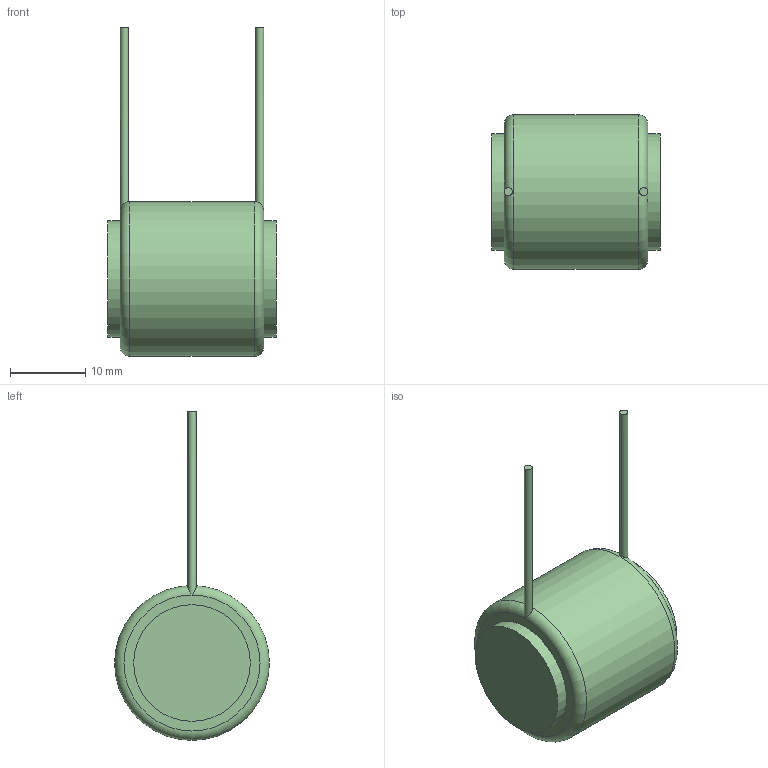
import cadquery as cq

body_diameter = 20.57
body_length = 19.05
rim_radius = 1.25

core_diameter = 15.5
core_length = 22.35

lead_diameter = 1.07
total_height = 43.69
lead_top = total_height - body_diameter / 2
lead_bottom = body_diameter / 2 - rim_radius
lead_offset = (body_length - lead_diameter) / 2


def cylinder_along_x(diameter, length):
    """Cylinder on the X axis, centred on the origin."""
    return cq.Workplane("YZ", origin=(-length / 2, 0, 0)).circle(diameter / 2).extrude(length)


def make_body():
    """Winding body with both circular rims rounded."""
    return cylinder_along_x(body_diameter, body_length).edges("%CIRCLE").fillet(rim_radius)


def make_lead(x):
    """Straight wire that starts inside the body and ends at the lead top."""
    lead = cq.Workplane("XY").workplane(offset=lead_bottom).center(x, 0)
    return lead.circle(lead_diameter / 2).extrude(lead_top - lead_bottom)


result = make_body().union(cylinder_along_x(core_diameter, core_length))
for side in (-1, 1):
    result = result.union(make_lead(side * lead_offset))